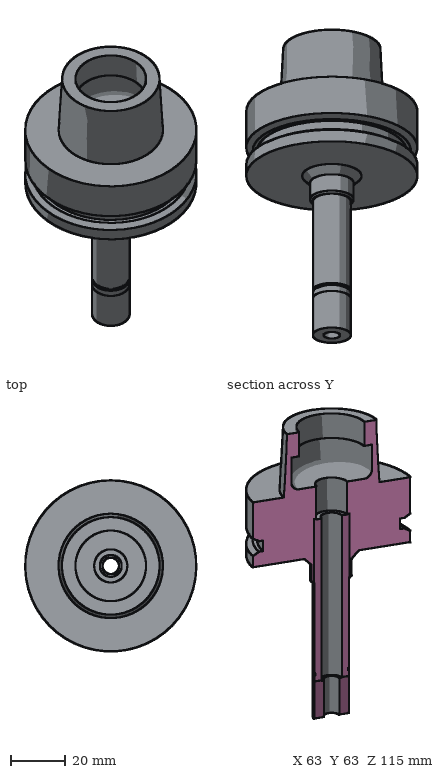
import cadquery as cq
import math


total_length = 115.0
taper_height = 25.0
bottom_z = taper_height - total_length

taper_top_radius = 17.9
taper_base_radius = 19.2

flange_radius = 31.5
flange_height = 26.0
groove_top_z = -16.0
groove_width = 4.0
groove_radius = 27.5
groove_bevel_height = 1.4
groove_bevel_width = groove_bevel_height * math.tan(math.radians(60))

collar_radius = 8.0
collar_flare = 2.9
collar_bottom_z = -36.2
collar_chamfer = 0.8

lip_radius = 13.0
lip_depth = 9.8
recess_radius = 16.0
recess_depth = 19.7
floor_fillet = 3.0
bore_floor_z = taper_height - recess_depth - floor_fillet
coolant_hole_radius = 6.1

shank_radius = 7.0
shank_seat_depth = 25.4
shank_bore_radius = 4.0
shank_top_z = collar_bottom_z + shank_seat_depth
neck_radius = 6.5
neck_height = 0.7
shank_band_height = 2.5

sleeve_length = 14.7
sleeve_bore_radius = 3.0
sleeve_top_z = bottom_z + sleeve_length


def bored_cylinder(radius, bore_radius, base_z, height):
    """Plain upright tube with its lower end at base_z."""
    return (
        cq.Workplane("XY")
        .workplane(offset=base_z)
        .circle(radius)
        .circle(bore_radius)
        .extrude(height)
    )


def make_holder():
    groove_bottom_z = groove_top_z - groove_width
    bevel_radius = flange_radius - groove_bevel_width
    recess_bottom_z = taper_height - recess_depth
    lip_z = taper_height - lip_depth
    return (
        cq.Workplane("YZ")
        .moveTo(lip_radius, taper_height)
        .lineTo(lip_radius, lip_z)
        .lineTo(recess_radius, lip_z)
        .lineTo(recess_radius, recess_bottom_z)
        .radiusArc((recess_radius - floor_fillet, bore_floor_z), floor_fillet)
        .lineTo(coolant_hole_radius, bore_floor_z)
        .lineTo(coolant_hole_radius, shank_top_z)
        .lineTo(shank_radius, shank_top_z)
        .lineTo(shank_radius, collar_bottom_z)
        .lineTo(collar_radius - collar_chamfer, collar_bottom_z)
        .lineTo(collar_radius, collar_bottom_z + collar_chamfer)
        .lineTo(collar_radius, -flange_height - collar_flare)
        .lineTo(collar_radius + collar_flare, -flange_height)
        .lineTo(flange_radius, -flange_height)
        .lineTo(flange_radius, groove_bottom_z - groove_bevel_height)
        .lineTo(bevel_radius, groove_bottom_z)
        .lineTo(groove_radius, groove_bottom_z)
        .lineTo(groove_radius, groove_top_z)
        .lineTo(bevel_radius, groove_top_z)
        .lineTo(flange_radius, groove_top_z + groove_bevel_height)
        .lineTo(flange_radius, 0)
        .lineTo(taper_base_radius, 0)
        .lineTo(taper_top_radius, taper_height)
        .close()
        .revolve(360, (0, 0), (0, 1))
    )


def make_shank():
    blank = bored_cylinder(shank_radius, shank_bore_radius, sleeve_top_z, shank_top_z - sleeve_top_z)
    neck_groove = bored_cylinder(shank_radius, neck_radius, sleeve_top_z + shank_band_height, neck_height)
    return blank.cut(neck_groove)


def make_sleeve():
    return bored_cylinder(shank_radius, sleeve_bore_radius, bottom_z, sleeve_length)


holder = make_holder()
shank = make_shank()
sleeve = make_sleeve()

result = cq.Compound.makeCompound([holder.val(), shank.val(), sleeve.val()])